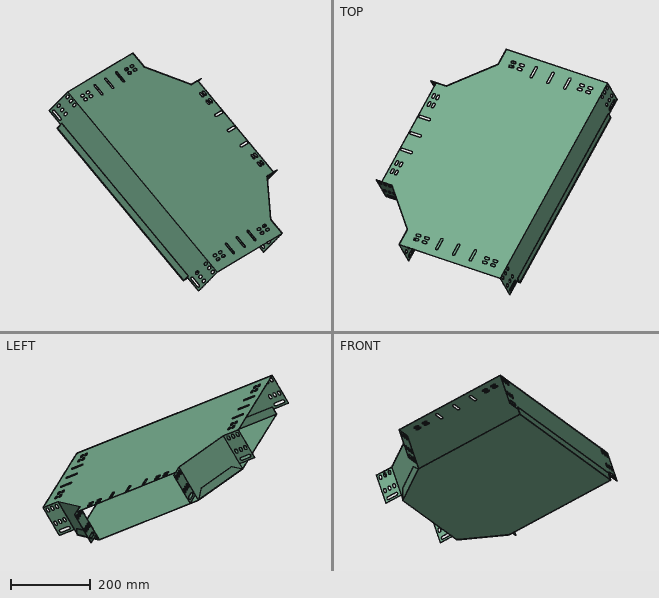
import cadquery as cq
import math


SHEET = 1.0
TRAY_WIDTH = 301.5
GUSSET_LEG = 100.0
TAB_LENGTH = 45.5
BRANCH_FLOOR_GAP = 16.0

TOTAL_DEPTH = 101.0
TAB_DEPTH = 85.0
LIP_TOP_DEPTH = 79.0

FLOOR_HOLE_LENGTH = 13.5
FLOOR_HOLE_WIDTH = 7.0
FLOOR_HOLE_ROWS = (28.0, 40.0)
FLOOR_HOLE_OFFSETS = (89.5, 114.0)
FLOOR_SLOT_LENGTH = 34.0
FLOOR_SLOT_ROW = 36.0
FLOOR_SLOT_PITCH = 50.0

TAB_HOLE_LENGTH = 12.0
TAB_HOLE_WIDTH = 7.0
TAB_PATTERN_CENTRE = 22.0
TAB_HOLE_PITCH = 13.5
TAB_HOLE_DEPTHS = (11.0, 51.0)
TAB_SLOT_LENGTH = 31.5
TAB_SLOT_WIDTH = 8.0
TAB_SLOT_DEPTH = 75.0

ROLL = -21.75
PITCH = -27.05
YAW = -18.5

HALF_WIDTH = TRAY_WIDTH / 2
GUSSET_END = HALF_WIDTH + GUSSET_LEG
RUN_END = GUSSET_END + TAB_LENGTH
BRANCH_TIP = GUSSET_LEG + TAB_LENGTH
GUSSET_LENGTH = GUSSET_LEG * math.sqrt(2)
WALL_DEPTH = TOTAL_DEPTH - SHEET
LIP_HEIGHT = TOTAL_DEPTH - LIP_TOP_DEPTH
CORNER_SHIFT = SHEET * (math.sqrt(2) - 1)
CUT_LENGTH = 4 * SHEET
SIDES = (1, -1)
COLUMNS = (-1, 0, 1)


def box(x0, x1, y0, y1, z0, z1):
    """Box between two opposite corners."""
    return cq.Workplane("XY").box(x1 - x0, y1 - y0, z1 - z0, centered=False).translate((x0, y0, z0))


def prism(half_outline, z, height):
    """Prism on the outline made of the given +Y points and their mirror images."""
    mirrored = [(x, -y) for x, y in reversed(half_outline)]
    return cq.Workplane("XY").workplane(offset=z).polyline(half_outline + mirrored).close().extrude(height)


def turned(body, angle, place):
    """Copy of the body turned about Z and moved."""
    return body.rotate((0, 0, 0), (0, 0, 1), angle).translate(place)


def floor_pattern():
    """Hole cutters of one open end, whose edge lies on Y = 0 with the floor on the -Y side."""
    holes = [(side * x, -y) for side in SIDES for x in FLOOR_HOLE_OFFSETS for y in FLOOR_HOLE_ROWS]
    slots = [(column * FLOOR_SLOT_PITCH, -FLOOR_SLOT_ROW) for column in COLUMNS]
    plane = cq.Workplane("XY").workplane(offset=-CUT_LENGTH / 2)
    hole_cutters = plane.pushPoints(holes).slot2D(FLOOR_HOLE_LENGTH, FLOOR_HOLE_WIDTH).extrude(CUT_LENGTH)
    slot_cutters = plane.pushPoints(slots).slot2D(FLOOR_SLOT_LENGTH, FLOOR_HOLE_WIDTH, 90).extrude(CUT_LENGTH)
    return hole_cutters.union(slot_cutters)


def tab_pattern():
    """Hole cutters of one tab on Y = 0, whose end edge lies on X = 0 with the tab on the -X side."""
    columns = [column * TAB_HOLE_PITCH - TAB_PATTERN_CENTRE for column in COLUMNS]
    holes = [(x, -depth) for x in columns for depth in TAB_HOLE_DEPTHS]
    slot = [(-TAB_PATTERN_CENTRE, -TAB_SLOT_DEPTH)]
    plane = cq.Workplane("XZ").workplane(offset=-CUT_LENGTH / 2)
    hole_cutters = plane.pushPoints(holes).slot2D(TAB_HOLE_LENGTH, TAB_HOLE_WIDTH, 90).extrude(CUT_LENGTH)
    slot_cutter = plane.pushPoints(slot).slot2D(TAB_SLOT_LENGTH, TAB_SLOT_WIDTH).extrude(CUT_LENGTH)
    return hole_cutters.union(slot_cutter)


def tray_shell():
    """Floor and full-depth walls of the tee, open at its three ends."""
    outer_half = [
        (TRAY_WIDTH, RUN_END),
        (0, RUN_END),
        (0, GUSSET_END),
        (-GUSSET_LEG, HALF_WIDTH),
        (-BRANCH_TIP, HALF_WIDTH),
    ]
    past_run_end = RUN_END + TAB_LENGTH
    past_branch_tip = BRANCH_TIP + TAB_LENGTH
    inner_half = [
        (TRAY_WIDTH - SHEET, past_run_end),
        (SHEET, past_run_end),
        (SHEET, GUSSET_END - CORNER_SHIFT),
        (CORNER_SHIFT - GUSSET_LEG, HALF_WIDTH - SHEET),
        (-past_branch_tip, HALF_WIDTH - SHEET),
    ]
    return prism(outer_half, 0, -WALL_DEPTH).cut(prism(inner_half, -SHEET, -TOTAL_DEPTH))


def trim_ends(tray):
    """Shorten the tabs at the three ends and set the branch floor back from its tab tips."""
    below_tabs = (-TOTAL_DEPTH, -TAB_DEPTH)
    tray = tray.cut(box(0, TRAY_WIDTH, GUSSET_END, RUN_END, *below_tabs))
    tray = tray.cut(box(0, TRAY_WIDTH, -RUN_END, -GUSSET_END, *below_tabs))
    tray = tray.cut(box(-BRANCH_TIP, -GUSSET_LEG, -HALF_WIDTH, HALF_WIDTH, *below_tabs))
    inner_y = HALF_WIDTH - SHEET
    return tray.cut(box(-BRANCH_TIP, BRANCH_FLOOR_GAP - BRANCH_TIP, -inner_y, inner_y, -SHEET, 0))


def make_tray():
    """Perforated tee tray as a single sheet-metal body."""
    tray = trim_ends(tray_shell())
    floor_holes = floor_pattern()
    tab_holes = tab_pattern()

    tray = tray.cut(turned(floor_holes, 90, (-BRANCH_TIP, 0, 0)))
    for side in SIDES:
        tray = tray.cut(turned(floor_holes, 90 - side * 90, (HALF_WIDTH, side * RUN_END, 0)))
        tray = tray.cut(turned(tab_holes, 180, (-BRANCH_TIP, side * HALF_WIDTH, 0)))
        for wall_x in (0, TRAY_WIDTH):
            tray = tray.cut(turned(tab_holes, side * 90, (wall_x, side * RUN_END, 0)))
    return tray


def gusset_lip():
    """Mitred lip standing on Z = 0 along X, its wall side on Y = 0 and its outer side at -Y."""
    base_x = GUSSET_LENGTH / 2
    top_x = base_x - LIP_HEIGHT
    outline = [(-base_x, 0), (base_x, 0), (top_x, LIP_HEIGHT), (-top_x, LIP_HEIGHT)]
    return cq.Workplane("XZ").polyline(outline).close().extrude(SHEET)


def make_cover():
    """Plate closing the tee between its tabs, with lips outside the back and gusset walls."""
    gusset_shift = SHEET * math.sqrt(2)
    outer_x = TRAY_WIDTH + SHEET
    half_outline = [
        (outer_x, GUSSET_END),
        (-gusset_shift, GUSSET_END),
        (-gusset_shift - GUSSET_LEG, HALF_WIDTH),
    ]
    cover = prism(half_outline, -TOTAL_DEPTH, SHEET)
    cover = cover.union(box(TRAY_WIDTH, outer_x, -GUSSET_END, GUSSET_END, -TOTAL_DEPTH, -LIP_TOP_DEPTH))
    lip = gusset_lip()
    for side in SIDES:
        middle = (-GUSSET_LEG / 2, side * (HALF_WIDTH + GUSSET_END) / 2, -TOTAL_DEPTH)
        cover = cover.union(turned(lip, -90 - side * 45, middle))
    return cover


def tilted(body):
    """Turn a level body into its final attitude."""
    rolled = body.rotate((0, 0, 0), (1, 0, 0), ROLL)
    pitched = rolled.rotate((0, 0, 0), (0, 1, 0), PITCH)
    return pitched.rotate((0, 0, 0), (0, 0, 1), YAW)


tray = tilted(make_tray())
cover = tilted(make_cover())

result = cq.Compound.makeCompound([tray.solids().val(), cover.solids().val()])